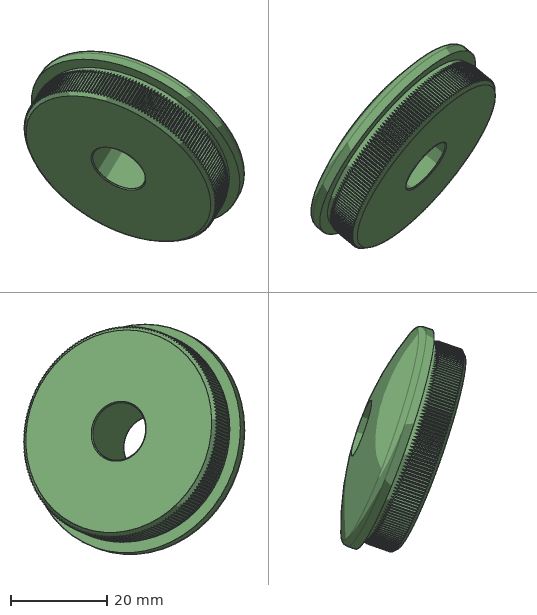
import cadquery as cq
import math

rim_radius = 24.15
total_height = 15.15

bore_radius = 6.1
bore_chamfer = 0.25

plug_radius = 22.3
plug_chamfer = 0.9
neck_radius = 21.75
neck_start = 6.0

flange_bottom = 8.0
edge_radius = 1.4
dome_radius = 64.7

groove_count = 190
groove_depth = 0.3
groove_angle = 90.0


def revolve_about_y(half_section):
    return half_section.revolve(360, (0, 0, 0), (0, 1, 0))


def bored_plug():
    """Plug with a chamfered front edge, a chamfered bore mouth and a neck tapering to the flange."""
    half_section = (
        cq.Workplane("XY")
        .moveTo(bore_radius, bore_chamfer)
        .lineTo(bore_radius + bore_chamfer, 0)
        .lineTo(plug_radius - plug_chamfer, 0)
        .lineTo(plug_radius, plug_chamfer)
        .lineTo(plug_radius, neck_start)
        .lineTo(neck_radius, flange_bottom)
        .lineTo(bore_radius, flange_bottom)
        .close()
    )
    return revolve_about_y(half_section)


def knurl_envelope():
    """Star-shaped prism whose valleys are the V grooves; its sharp tips lie outside the plug."""
    half_pitch = math.pi / groove_count
    wall_slope = math.tan(math.radians(groove_angle / 2))
    root_radius = plug_radius - groove_depth

    tip_rise = root_radius * math.tan(half_pitch) / (wall_slope - math.tan(half_pitch))
    tip_radius = (root_radius + tip_rise) / math.cos(half_pitch)

    outline = []
    for step in range(2 * groove_count):
        radius = root_radius if step % 2 == 0 else tip_radius
        angle = step * half_pitch
        outline.append((radius * math.sin(angle), radius * math.cos(angle)))

    return cq.Workplane("XZ").polyline(outline).close().extrude(-flange_bottom)


def domed_flange():
    """Flange with a straight rim, a rounded edge and a spherical dome pierced by the bore."""
    dome_centre = total_height - math.sqrt(dome_radius**2 - bore_radius**2)

    edge_centre_r = rim_radius - edge_radius
    edge_rise = math.sqrt((dome_radius - edge_radius) ** 2 - edge_centre_r**2)
    edge_centre_y = dome_centre + edge_rise
    tangent_angle = math.atan2(edge_rise, edge_centre_r)

    def edge_point(angle):
        return (
            edge_centre_r + edge_radius * math.cos(angle),
            edge_centre_y + edge_radius * math.sin(angle),
        )

    dome_start = edge_point(tangent_angle)
    dome_middle_r = (dome_start[0] + bore_radius) / 2
    dome_middle_y = dome_centre + math.sqrt(dome_radius**2 - dome_middle_r**2)

    half_section = (
        cq.Workplane("XY")
        .moveTo(bore_radius, flange_bottom)
        .lineTo(rim_radius, flange_bottom)
        .lineTo(rim_radius, edge_centre_y)
        .threePointArc(edge_point(tangent_angle / 2), dome_start)
        .threePointArc((dome_middle_r, dome_middle_y), (bore_radius, total_height))
        .close()
    )
    return revolve_about_y(half_section)


knurled_plug = bored_plug().intersect(knurl_envelope())
result = knurled_plug.union(domed_flange())